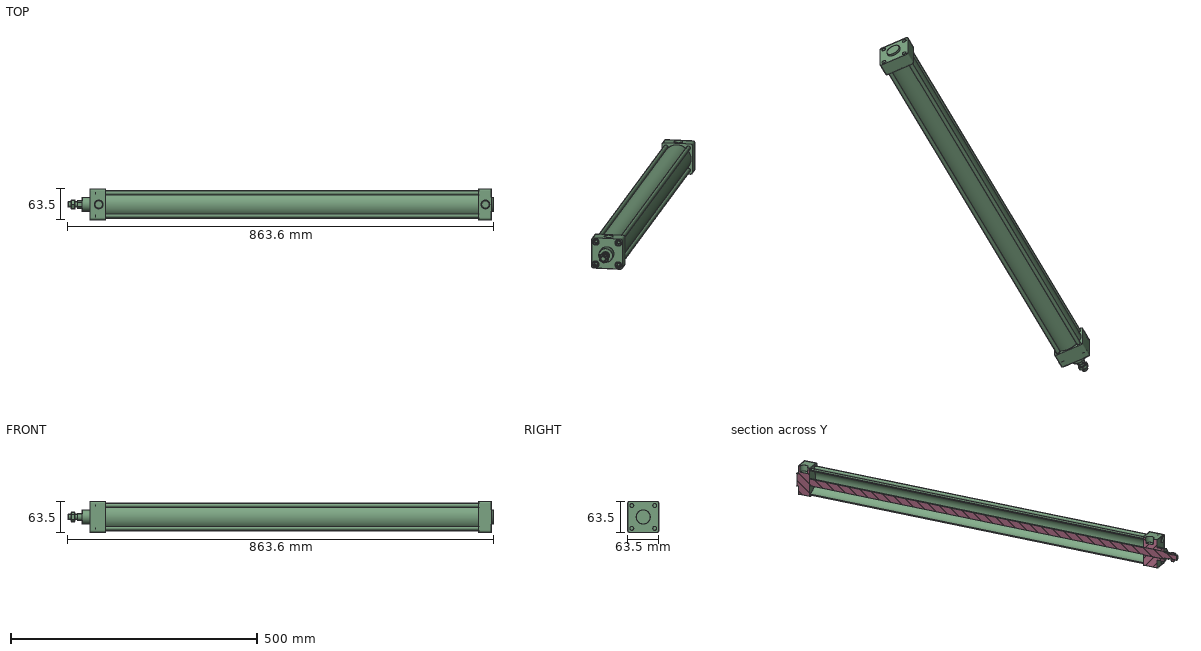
import cadquery as cq
import math

INCH = 25.4

thread_length = 0.75 * INCH
front_boss_start = 1.125 * INCH
front_head_start = 1.75 * INCH
front_head_length = 1.25 * INCH
rear_head_length = 1.03125 * INCH
rear_boss_length = 0.15625 * INCH
overall_length = 34.0 * INCH
front_head_end = front_head_start + front_head_length
rear_head_end = overall_length - rear_boss_length
rear_head_start = rear_head_end - rear_head_length

head_width = 2.5 * INCH
corner_radius = 4.5
boss_diameter = 28.57

front_port_inset = 0.7 * INCH
rear_port_inset = 12.3
port_mouth_diameter = 17.6
port_bottom_diameter = 15.28
port_depth = 0.5 * INCH
front_port_center = front_head_start + front_port_inset
rear_port_center = rear_head_end - rear_port_inset

bore_diameter = 50.8
tube_diameter = 57.15

tie_rod_pitch = 46.5
tie_rod_diameter = 7.94
tie_rod_head_diameter = 11.76
tie_rod_head_length = 0.3125 * INCH
socket_width = 0.25 * INCH
socket_depth = 4.0
counterbore_diameter = 13.46
counterbore_depth = 0.4375 * INCH

rod_diameter = 15.88
thread_diameter = 11.11
thread_tip_diameter = 9.74
flats_width = 13.46
flats_length = front_boss_start - thread_length
nut_width = 0.6875 * INCH
nut_face_diameter = 0.95 * nut_width
nut_start = 0.25 * INCH
nut_length = 7.5


def x_cylinder(diameter, start, end):
    return cq.Workplane("YZ", origin=(start, 0, 0)).circle(diameter / 2).extrude(end - start)


def hexagon_bar(width, start, end):
    """Hexagonal bar along X with two of its flats facing -Y and +Y."""
    corner_diameter = width / math.cos(math.pi / 6)
    bar = cq.Workplane("YZ", origin=(start, 0, 0)).polygon(6, corner_diameter).extrude(end - start)
    return bar.rotate((0, 0, 0), (1, 0, 0), 90)


def at_tie_rods(shape):
    """One copy of an on-axis shape at each tie rod."""
    offset = tie_rod_pitch / 2
    return [shape.translate((0, y, z)) for y in (-offset, offset) for z in (-offset, offset)]


def head_block(start, length, port_center):
    block = (
        cq.Workplane("YZ", origin=(start, 0, 0))
        .rect(head_width, head_width)
        .extrude(length)
        .edges("|X")
        .fillet(corner_radius)
    )
    port = (
        cq.Workplane("XY", origin=(port_center, 0, head_width / 2))
        .circle(port_mouth_diameter / 2)
        .workplane(offset=-port_depth)
        .circle(port_bottom_diameter / 2)
        .loft()
    )
    block = block.cut(port)
    for hole in at_tie_rods(x_cylinder(tie_rod_diameter, start, start + length)):
        block = block.cut(hole)
    return block


def build_front_head():
    head = head_block(front_head_start, front_head_length, front_port_center)
    head = head.union(x_cylinder(boss_diameter, front_boss_start, front_head_start))
    head = head.cut(x_cylinder(rod_diameter, front_boss_start, front_head_end))
    counterbore_end = front_head_start + counterbore_depth
    for counterbore in at_tie_rods(x_cylinder(counterbore_diameter, front_head_start, counterbore_end)):
        head = head.cut(counterbore)
    return head


def build_rear_head():
    head = head_block(rear_head_start, rear_head_length, rear_port_center)
    return head.union(x_cylinder(boss_diameter, rear_head_end, overall_length))


def build_tube():
    outside = x_cylinder(tube_diameter, front_head_end, rear_head_start)
    return outside.cut(x_cylinder(bore_diameter, front_head_end, rear_head_start))


def build_tie_rod():
    seat = front_head_start + counterbore_depth
    head_start = seat - tie_rod_head_length
    rod = x_cylinder(tie_rod_diameter, seat, rear_head_end)
    rod = rod.union(x_cylinder(tie_rod_head_diameter, head_start, seat))
    return rod.cut(hexagon_bar(socket_width, head_start, head_start + socket_depth))


def build_piston_rod():
    rod = x_cylinder(rod_diameter, thread_length, rear_head_start)
    between_flats = cq.Workplane("XY", origin=(thread_length + flats_length / 2, 0, 0)).box(
        flats_length, rod_diameter, flats_width
    )
    beside_flats = x_cylinder(rod_diameter, thread_length, thread_length + flats_length).cut(between_flats)
    thread_chamfer = (thread_diameter - thread_tip_diameter) / 2
    thread = x_cylinder(thread_diameter, 0, thread_length).faces("<X").chamfer(thread_chamfer)
    return rod.cut(beside_flats).union(thread)


def build_nut():
    """Hexagon nut on the rod thread, corners chamfered at 30 degrees on both faces."""
    nut_end = nut_start + nut_length
    corner_diameter = nut_width / math.cos(math.pi / 6)
    chamfer_width = (corner_diameter - nut_face_diameter) / 2
    chamfer_length = chamfer_width * math.tan(math.pi / 6)
    envelope = x_cylinder(corner_diameter, nut_start, nut_end)
    envelope = envelope.faces("<X or >X").chamfer(chamfer_length, chamfer_width)
    nut = hexagon_bar(nut_width, nut_start, nut_end).intersect(envelope)
    return nut.cut(x_cylinder(thread_diameter, nut_start, nut_end))


front_head = build_front_head()
rear_head = build_rear_head()
tube = build_tube()
tie_rods = at_tie_rods(build_tie_rod())
piston_rod = build_piston_rod()
nut = build_nut()

result = cq.Compound.makeCompound(
    [
        front_head.val(),
        rear_head.val(),
        tube.val(),
        *[tie_rod.val() for tie_rod in tie_rods],
        piston_rod.val(),
        nut.val(),
    ]
)